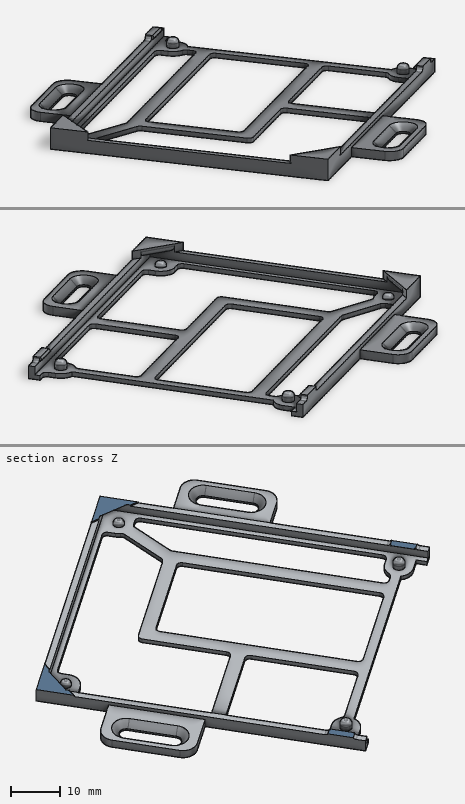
import cadquery as cq
import math

TURN_ANGLE = 22

FRAME_WIDTH = 59.1
FRAME_LENGTH = 68.3
WALL_HEIGHT = 2.8
WALL_THICKNESS = 1.4
FLOOR_THICKNESS = 1.0
LEDGE_WIDTH = 1.1
RIM_WIDTH = WALL_THICKNESS + LEDGE_WIDTH

COVER_LEG = 8.0
COVER_TOP = 4.6
COVER_ROUNDING = 1.3

PIN_INSET = 5.0
PIN_PITCH = 58.0
REAR_PIN_DIAMETER = 2.5
FRONT_PIN_DIAMETER = 2.4
REAR_PIN_TOP = 3.0
FRONT_PIN_TOP = 2.05
PIN_ROUNDING = 0.9
PAD_RADIUS = 3.0
FRONT_PIN_Y = PIN_INSET
REAR_PIN_Y = PIN_INSET + PIN_PITCH
PIN_XS = (PIN_INSET, FRAME_WIDTH - PIN_INSET)

BAR_WIDTH = 3.0
REAR_BAR_WIDTH = 2.05
REAR_BAR_END = 64.1
LEFT_BAR_X = 10.6
MIDDLE_BAR_X = 34.5
FRONT_BAR_Y = 16.15
SIDE_BAR_Y = 35.6
CORNER_RADIUS = 1.0
STRUT_END = (LEFT_BAR_X + BAR_WIDTH / 2, 16.7)

CLIP_TOP = 3.85
CLIP_TOP_LENGTH = 4.95
CLIP_END_RADIUS = 0.8
LIP_NOSE_HEIGHT = 3.3
LIP_NOSE_REACH = 0.6
LIP_TOP_REACH = 0.2

EAR_REACH = 10.1
EAR_LENGTH = 20.0
EAR_THICKNESS = 2.0
EAR_RADIUS = 3.0
EAR_CENTER_Y = 25.0
SLOT_OFFSET = 6
SLOT_TRAVEL = 10.0
SLOT_WIDTH = 2.9
SLOT_HEAD_WIDTH = 5.9


def block(x_start, x_end, y_start, y_end, z_start, z_end):
    """Axis-aligned block between the given limits."""
    size = (x_end - x_start, y_end - y_start, z_end - z_start)
    return cq.Workplane().box(*size, centered=False).translate((x_start, y_start, z_start))


def floor_block(x_start, x_end, y_start, y_end):
    return block(x_start, x_end, y_start, y_end, 0, FLOOR_THICKNESS)


def mirror_across(shape):
    """Copy of a left-hand feature on the right-hand side of the frame."""
    return shape.mirror("YZ", (FRAME_WIDTH / 2, 0, 0))


def arc_middle(radius):
    """Offset of the middle of a concave quarter arc from the corner it rounds, along each leg."""
    return radius * (1 - math.sqrt(0.5))


def corner_cover():
    """Solid triangle over the front left corner, rounded below its slanted face inside the walls."""
    corners = [(0, 0), (COVER_LEG, 0), (0, COVER_LEG)]
    triangle = cq.Workplane().polyline(corners).close().extrude(COVER_TOP)
    section = cq.Plane((COVER_LEG, 0, WALL_HEIGHT), xDir=(-1, -1, 0), normal=(-1, 1, 0))
    middle = arc_middle(COVER_ROUNDING)
    rounding = (
        cq.Workplane(section)
        .lineTo(COVER_ROUNDING, 0)
        .threePointArc((middle, middle), (0, COVER_ROUNDING))
        .close()
        .extrude(COVER_LEG * math.sqrt(2))
    )
    inside_walls = block(WALL_THICKNESS, COVER_LEG, WALL_THICKNESS, COVER_LEG, 0, COVER_TOP)
    return triangle.cut(rounding.intersect(inside_walls))


def pad_disc(pin_y):
    return cq.Workplane().center(PIN_INSET, pin_y).circle(PAD_RADIUS).extrude(FLOOR_THICKNESS)


def rear_pad():
    """Round pad joined to the left wall."""
    bridge = floor_block(0, PIN_INSET, REAR_PIN_Y - PAD_RADIUS, REAR_PIN_Y + PAD_RADIUS)
    return pad_disc(REAR_PIN_Y).union(bridge)


def front_pad():
    """Round pad filled out to the left and front walls."""
    far_edge = PIN_INSET + PAD_RADIUS
    to_side = floor_block(0, PIN_INSET, 0, far_edge)
    to_front = floor_block(0, far_edge, 0, PIN_INSET)
    return pad_disc(FRONT_PIN_Y).union(to_side).union(to_front)


def strut():
    """Slanted bar from the front left pin to the left bar."""
    run = STRUT_END[0] - PIN_INSET
    rise = STRUT_END[1] - FRONT_PIN_Y
    bar = (
        cq.Workplane()
        .rect(math.hypot(run, rise), BAR_WIDTH)
        .extrude(FLOOR_THICKNESS)
        .rotate((0, 0, 0), (0, 0, 1), math.degrees(math.atan2(rise, run)))
    )
    return bar.translate((PIN_INSET + run / 2, FRONT_PIN_Y + rise / 2, 0))


def floor_bars():
    """Bars that divide the floor into openings."""
    middle_bar_end = MIDDLE_BAR_X + BAR_WIDTH
    front_bar = floor_block(LEFT_BAR_X, middle_bar_end, FRONT_BAR_Y, FRONT_BAR_Y + BAR_WIDTH)
    middle_bar = floor_block(MIDDLE_BAR_X, middle_bar_end, FRONT_BAR_Y, REAR_BAR_END)
    left_bar = floor_block(LEFT_BAR_X, LEFT_BAR_X + BAR_WIDTH, FRONT_BAR_Y, REAR_BAR_END)
    side_bar = floor_block(middle_bar_end, FRAME_WIDTH, SIDE_BAR_Y, SIDE_BAR_Y + BAR_WIDTH)
    free_corner = cq.selectors.NearestToPointSelector((middle_bar_end, FRONT_BAR_Y, FLOOR_THICKNESS / 2))
    bars = front_bar.union(middle_bar).edges(free_corner).fillet(CORNER_RADIUS)
    return bars.union(left_bar).union(side_bar).union(strut())


def floor_openings(pads):
    """Floor cutouts left between the rim, the bars and the pads, with rounded corners."""
    inner = floor_block(RIM_WIDTH, FRAME_WIDTH - RIM_WIDTH, RIM_WIDTH, REAR_BAR_END - REAR_BAR_WIDTH)
    sharp = inner.cut(floor_bars()).cut(pads)
    openings = cq.Workplane()
    for outline in sharp.faces("<Z").wires().vals():
        for shrunk in outline.offset2D(-CORNER_RADIUS):
            for rounded in shrunk.offset2D(CORNER_RADIUS):
                opening = cq.Solid.extrudeLinear(rounded, [], cq.Vector(0, 0, FLOOR_THICKNESS))
                openings = openings.add(opening)
    return openings


def rear_notch(pads):
    """Open space behind the rear bar, rounded where the right pad meets the ledge."""
    notch_end = FRAME_WIDTH - RIM_WIDTH
    notch = floor_block(RIM_WIDTH, notch_end, REAR_BAR_END, FRAME_LENGTH).cut(pads)
    corner = (notch_end, REAR_PIN_Y + PAD_RADIUS, FLOOR_THICKNESS / 2)
    return notch.edges(cq.selectors.NearestToPointSelector(corner)).fillet(CORNER_RADIUS)


def pin(x, y, diameter, top):
    height = top - FLOOR_THICKNESS
    shape = cq.Workplane().circle(diameter / 2).extrude(height).faces(">Z").edges().fillet(PIN_ROUNDING)
    return shape.translate((x, y, FLOOR_THICKNESS))


def clip():
    """Raised wall section with hollow-curved ends and an inward lip, centred on the rear pin."""
    half_top = CLIP_TOP_LENGTH / 2
    half_base = half_top + CLIP_END_RADIUS
    middle_y = half_top + arc_middle(CLIP_END_RADIUS)
    middle_z = WALL_HEIGHT + arc_middle(CLIP_END_RADIUS)
    raised_wall = (
        cq.Workplane("YZ")
        .moveTo(-half_base, 0)
        .lineTo(half_base, 0)
        .lineTo(half_base, WALL_HEIGHT)
        .threePointArc((middle_y, middle_z), (half_top, WALL_HEIGHT + CLIP_END_RADIUS))
        .lineTo(half_top, CLIP_TOP)
        .lineTo(-half_top, CLIP_TOP)
        .lineTo(-half_top, WALL_HEIGHT + CLIP_END_RADIUS)
        .threePointArc((-middle_y, middle_z), (-half_base, WALL_HEIGHT))
        .close()
        .extrude(WALL_THICKNESS)
    )
    lip_profile = [
        (0, WALL_HEIGHT),
        (WALL_THICKNESS, WALL_HEIGHT),
        (WALL_THICKNESS + LIP_NOSE_REACH, LIP_NOSE_HEIGHT),
        (WALL_THICKNESS + LIP_TOP_REACH, CLIP_TOP),
        (0, CLIP_TOP),
    ]
    lip = cq.Workplane("XZ").polyline(lip_profile).close().extrude(half_top, both=True)
    return raised_wall.union(lip).translate((0, REAR_PIN_Y, 0))


def ear():
    """Left mounting ear; its slot is countersunk at 45 degrees."""
    plate = (
        block(-EAR_REACH, 0, -EAR_LENGTH / 2, EAR_LENGTH / 2, 0, EAR_THICKNESS)
        .edges("|Z and <X")
        .fillet(EAR_RADIUS)
    )
    slot = cq.Workplane().slot2D(SLOT_TRAVEL + SLOT_WIDTH, SLOT_WIDTH, 90).extrude(EAR_THICKNESS)
    head_depth = (SLOT_HEAD_WIDTH - SLOT_WIDTH) / 2
    head = (
        cq.Workplane()
        .workplane(offset=EAR_THICKNESS)
        .slot2D(SLOT_TRAVEL + SLOT_HEAD_WIDTH, SLOT_HEAD_WIDTH, 90)
        .extrude(-head_depth, taper=45)
    )
    cutter = slot.union(head).translate((-SLOT_OFFSET, 0, 0))
    return plate.cut(cutter).translate((0, EAR_CENTER_Y, 0))


frame = block(0, FRAME_WIDTH, 0, FRAME_LENGTH, 0, WALL_HEIGHT)
frame = frame.union(corner_cover()).union(mirror_across(corner_cover()))
pocket = block(
    WALL_THICKNESS,
    FRAME_WIDTH - WALL_THICKNESS,
    WALL_THICKNESS,
    FRAME_LENGTH,
    FLOOR_THICKNESS,
    WALL_HEIGHT,
)
frame = frame.cut(pocket)

left_pads = front_pad().union(rear_pad())
all_pads = left_pads.union(mirror_across(left_pads))
for opening in floor_openings(all_pads).vals():
    frame = frame.cut(cq.Workplane(opening))
frame = frame.cut(rear_notch(all_pads))

for side_feature in (clip(), ear()):
    frame = frame.union(side_feature).union(mirror_across(side_feature))

for pin_x in PIN_XS:
    frame = frame.union(pin(pin_x, FRONT_PIN_Y, FRONT_PIN_DIAMETER, FRONT_PIN_TOP))
    frame = frame.union(pin(pin_x, REAR_PIN_Y, REAR_PIN_DIAMETER, REAR_PIN_TOP))

result = frame.rotate((0, 0, 0), (0, 0, 1), TURN_ANGLE)